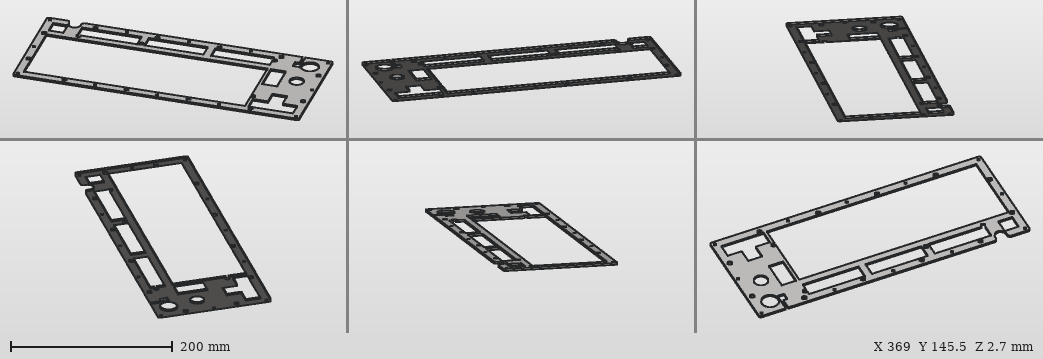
import cadquery as cq

LENGTH = 369.0
WIDTH = 145.5
THICKNESS = 2.7
CORNER_RADIUS = 3.0

MARGIN_X = 10.7
KEYS_ACROSS = 18.25
KEYS_DEEP = 6.5
KEY = (LENGTH - 2 * MARGIN_X) / KEYS_ACROSS
MARGIN_Y = (WIDTH - KEYS_DEEP * KEY) / 2
ROW_GAP = KEY / 2
MAIN_COLUMNS = 15
MAIN_ROWS = 5
FUNCTION_ROW_Y = MARGIN_Y + MAIN_ROWS * KEY + ROW_GAP
FUNCTION_BLOCKS = [(0, 1), (6.5, 4), (11, 4)]
FIRST_BLOCK_START = 2
FIRST_BLOCK_KEYS = 4
FIRST_BLOCK_EXTRA = 0.7

CLUSTER_RIGHT = LENGTH - MARGIN_X
CLUSTER_LEFT = 300.8
MIDDLE_KEY_LEFT = CLUSTER_RIGHT - 2 * KEY

SCREW_DIAMETER = 6.0
SCREW_INSET = 7.5
SCREW_PITCH = 80.0
SIDE_SCREW_HEIGHTS = (42.8, 108.0)
INNER_SCREWS = [(50.0, 114.0), (129.5, 118.5), (299.0, 127.7), (299.0, 36.0)]
PIN_DIAMETER = 3.2
PIN_INSET = 4.8

LARGE_DIAMETER = 22.0
LARGE_CENTER = (345.5, 125.5)
SMALL_DIAMETER = 18.0
SMALL_CENTER = (340.0, 87.0)

NOTCH_X = 37.3
NOTCH_RADIUS = 7.8
NOTCH_DEPTH = 14.0
NOTCH_LIP_RADIUS = 4.0

SLOT_LEFT = 330.0
SLOT_RIGHT = 333.3
SLOT_BOTTOM = 121.0
HOOK_LEFT = 324.5
HOOK_TOP = 131.0


def opening(left, bottom, right, top):
    """Rectangular through cutter given by its four sides."""
    return (
        cq.Workplane("XY")
        .rect(right - left, top - bottom)
        .extrude(THICKNESS)
        .translate(((left + right) / 2, (bottom + top) / 2, 0))
    )


def round_holes(points, diameter):
    """Round through cutters at the given points."""
    return cq.Workplane("XY").pushPoints(points).circle(diameter / 2).extrude(THICKNESS)


def key_openings():
    """Cutters for every group of keys."""
    main_top = MARGIN_Y + MAIN_ROWS * KEY
    function_top = FUNCTION_ROW_Y + KEY
    cutters = [opening(MARGIN_X, MARGIN_Y, MARGIN_X + MAIN_COLUMNS * KEY, main_top)]
    for start, keys in FUNCTION_BLOCKS:
        left = MARGIN_X + start * KEY
        cutters.append(opening(left, FUNCTION_ROW_Y, left + keys * KEY, function_top))
    first_left = MARGIN_X + FIRST_BLOCK_START * KEY
    first_right = first_left + FIRST_BLOCK_KEYS * KEY
    cutters.append(opening(first_left - FIRST_BLOCK_EXTRA, FUNCTION_ROW_Y, first_right, function_top))
    cutters.append(opening(CLUSTER_LEFT, main_top - 2 * KEY, MIDDLE_KEY_LEFT, main_top))
    cutters.append(opening(CLUSTER_LEFT, MARGIN_Y, CLUSTER_RIGHT, MARGIN_Y + KEY))
    cutters.append(
        opening(MIDDLE_KEY_LEFT, MARGIN_Y, MIDDLE_KEY_LEFT + KEY, MARGIN_Y + 2 * KEY)
    )
    return cutters


def screw_points():
    """Screws along all four edges, plus those between the openings."""
    points = list(INNER_SCREWS)
    for step in (-1.5, -0.5, 0.5, 1.5):
        x = LENGTH / 2 + step * SCREW_PITCH
        points += [(x, SCREW_INSET), (x, WIDTH - SCREW_INSET)]
    for y in SIDE_SCREW_HEIGHTS:
        points += [(SCREW_INSET, y), (LENGTH - SCREW_INSET, y)]
    return points


def pin_points():
    """Pin holes midway between the edge screws, at the corners and mid-sides."""
    points = [(PIN_INSET, WIDTH / 2), (LENGTH - PIN_INSET, WIDTH / 2)]
    middles = [LENGTH / 2 + step * SCREW_PITCH for step in (-1, 0, 1)]
    for x in [PIN_INSET, *middles, LENGTH - PIN_INSET]:
        points += [(x, PIN_INSET), (x, WIDTH - PIN_INSET)]
    return points


def back_notch():
    """U-shaped cutter whose mouth flares out with a round lip on each side."""
    left = NOTCH_X - NOTCH_RADIUS
    right = NOTCH_X + NOTCH_RADIUS
    lip_y = WIDTH - NOTCH_LIP_RADIUS
    return (
        cq.Workplane("XY")
        .moveTo(left - NOTCH_LIP_RADIUS, WIDTH)
        .radiusArc((left, lip_y), NOTCH_LIP_RADIUS)
        .lineTo(left, WIDTH - NOTCH_DEPTH + NOTCH_RADIUS)
        .threePointArc(
            (NOTCH_X, WIDTH - NOTCH_DEPTH),
            (right, WIDTH - NOTCH_DEPTH + NOTCH_RADIUS),
        )
        .lineTo(right, lip_y)
        .radiusArc((right + NOTCH_LIP_RADIUS, WIDTH), NOTCH_LIP_RADIUS)
        .close()
        .extrude(THICKNESS)
    )


plate = opening(0, 0, LENGTH, WIDTH).edges("|Z").fillet(CORNER_RADIUS)

cutters = key_openings()
cutters.append(round_holes(screw_points(), SCREW_DIAMETER))
cutters.append(round_holes(pin_points(), PIN_DIAMETER))
cutters.append(round_holes([LARGE_CENTER], LARGE_DIAMETER))
cutters.append(round_holes([SMALL_CENTER], SMALL_DIAMETER))
cutters.append(back_notch())
cutters.append(opening(SLOT_LEFT, SLOT_BOTTOM, SLOT_RIGHT, WIDTH))
cutters.append(opening(HOOK_LEFT, SLOT_BOTTOM, SLOT_RIGHT, HOOK_TOP))

for cutter in cutters:
    plate = plate.cut(cutter)

result = plate